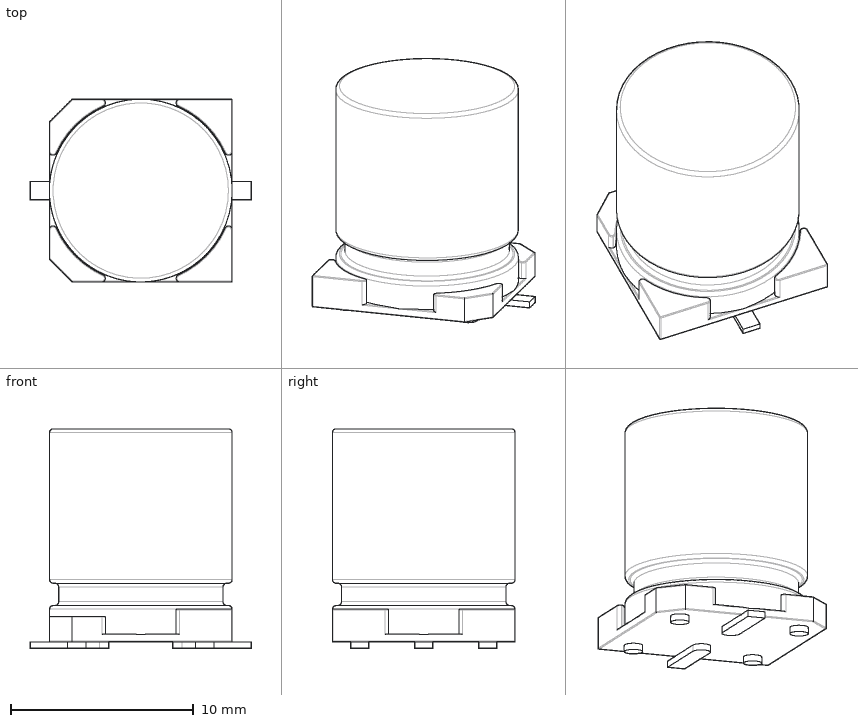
import cadquery as cq
import math

can_diameter = 10.0
groove_diameter = 9.0
can_top = 12.0
groove_center_z = 2.95
roll_radius = 0.2
groove_half_height = 0.4

base_size = can_diameter
base_bottom = 0.35
floor_top = 0.8
low_post_top = 1.75
high_post_top = 2.15
corner_chamfer = 1.25
notch_half_width = 1.94
pocket_gap = 0.05
post_corner_radius = 0.19
base_edge_radius = 0.05

lead_span = 12.1
lead_width = 1.0
lead_inner_x = 1.74
foot_diameter = lead_width
foot_offset = 3.5

can_radius = can_diameter / 2
groove_radius = groove_diameter / 2
half_base = base_size / 2
pocket_radius = can_radius + pocket_gap


def make_can():
    """Revolve the can outline about Z, with rounded rims and groove shoulders."""
    diagonal = roll_radius * math.sqrt(0.5)
    bulge = roll_radius - diagonal
    rim_radius = can_radius - roll_radius
    neck_radius = groove_radius + roll_radius
    lower_neck_z = groove_center_z - groove_half_height
    upper_neck_z = groove_center_z + groove_half_height
    lower_shoulder_z = lower_neck_z - roll_radius
    upper_shoulder_z = upper_neck_z + roll_radius

    foot_z = base_bottom + base_edge_radius

    outline = (
        cq.Workplane("XZ")
        .moveTo(0, foot_z)
        .lineTo(can_radius, foot_z)
        .lineTo(can_radius, lower_shoulder_z - roll_radius)
        .threePointArc(
            (can_radius - bulge, lower_shoulder_z - bulge),
            (rim_radius, lower_shoulder_z),
        )
        .lineTo(neck_radius, lower_shoulder_z)
        .threePointArc(
            (groove_radius + bulge, lower_shoulder_z + bulge),
            (groove_radius, lower_neck_z),
        )
        .lineTo(groove_radius, upper_neck_z)
        .threePointArc(
            (groove_radius + bulge, upper_shoulder_z - bulge),
            (neck_radius, upper_shoulder_z),
        )
        .lineTo(rim_radius, upper_shoulder_z)
        .threePointArc(
            (can_radius - bulge, upper_shoulder_z + bulge),
            (can_radius, upper_shoulder_z + roll_radius),
        )
        .lineTo(can_radius, can_top - roll_radius)
        .threePointArc((can_radius - bulge, can_top - bulge), (rim_radius, can_top))
        .lineTo(0, can_top)
        .close()
    )
    return outline.revolve(360, (0, 0, 0), (0, 1, 0))


def base_envelope():
    """Tall square prism, chamfered at its two -X corners and eased at its two +X corners."""
    return (
        cq.Workplane("XY")
        .workplane(offset=base_bottom)
        .rect(base_size, base_size)
        .extrude(high_post_top)
        .edges("|Z and <X")
        .chamfer(corner_chamfer)
        .edges("|Z and >X")
        .fillet(base_edge_radius)
    )


def finish_base_block(block):
    """Shape the outer corners of a base layer and break its top and bottom edges."""
    block = block.intersect(base_envelope())
    return block.faces("<Z or >Z").edges().fillet(base_edge_radius)


def make_post(x_side, y_side, top):
    """Corner post hollowed around the can, with rounded tips beside the notches."""
    tip = math.sqrt(pocket_radius**2 - notch_half_width**2)
    pocket_mid = pocket_radius * math.sqrt(0.5)

    def corner(x, y):
        return (x_side * x, y_side * y)

    post = (
        cq.Workplane("XY")
        .workplane(offset=base_bottom)
        .moveTo(*corner(notch_half_width, half_base))
        .lineTo(*corner(half_base, half_base))
        .lineTo(*corner(half_base, notch_half_width))
        .lineTo(*corner(tip, notch_half_width))
        .threePointArc(corner(pocket_mid, pocket_mid), corner(notch_half_width, tip))
        .close()
        .extrude(top - base_bottom)
    )
    inward_x = "<X" if x_side > 0 else ">X"
    inward_y = "<Y" if y_side > 0 else ">Y"
    post = post.edges(f"|Z and ({inward_x} or {inward_y})").fillet(post_corner_radius)
    return finish_base_block(post)


def make_base():
    """Low plate with four corner posts around the can; the +X posts are taller."""
    plate = (
        cq.Workplane("XY")
        .workplane(offset=base_bottom)
        .rect(base_size, base_size)
        .extrude(floor_top - base_bottom)
    )
    base = finish_base_block(plate)
    for x_side, top in ((-1, low_post_top), (1, high_post_top)):
        for y_side in (-1, 1):
            base = base.union(make_post(x_side, y_side, top))
    return base


def make_terminals():
    """Flat leads with round inner ends, one toward each X side."""
    end_radius = lead_width / 2
    end_center_x = lead_inner_x + end_radius
    length = lead_span / 2 - end_center_x
    bar = (
        cq.Workplane("XY")
        .center(end_center_x + length / 2, 0)
        .rect(length, lead_width)
        .extrude(base_bottom)
    )
    round_end = cq.Workplane("XY").center(end_center_x, 0).circle(end_radius).extrude(base_bottom)
    lead = bar.union(round_end)
    return lead.union(lead.mirror("YZ"))


def make_feet():
    """Four round stand-off feet."""
    spacing = 2 * foot_offset
    return (
        cq.Workplane("XY")
        .rect(spacing, spacing, forConstruction=True)
        .vertices()
        .circle(foot_diameter / 2)
        .extrude(base_bottom)
    )


result = make_base().union(make_can()).union(make_terminals()).union(make_feet())